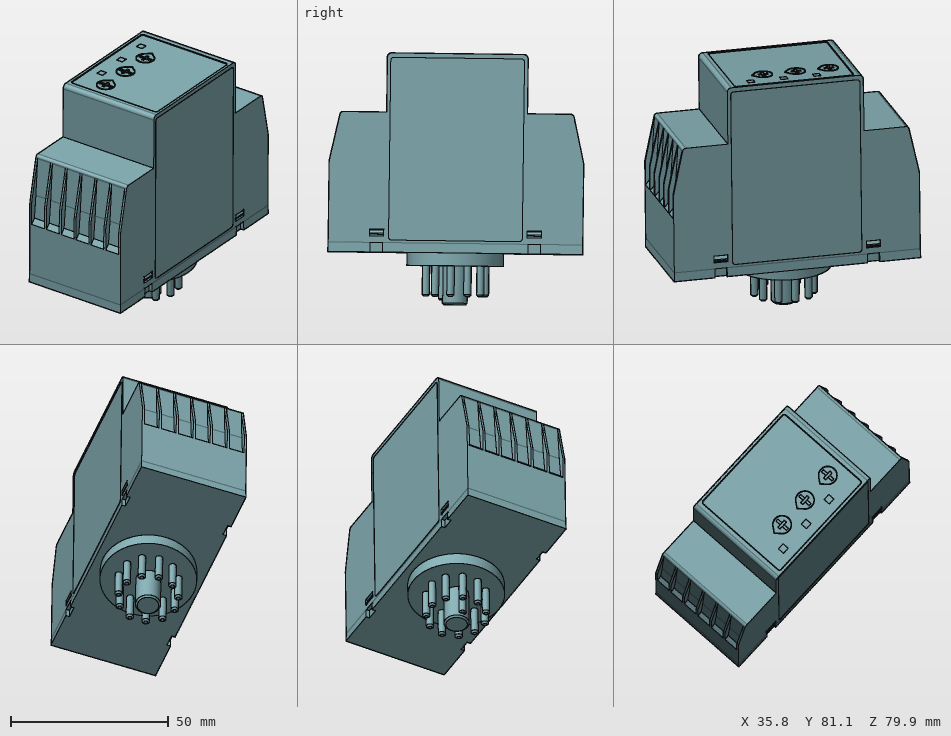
import cadquery as cq
import math

body_width = 35.3
half_length = 40.3
tower_half_length = 22.3
tower_height = 63.1
tower_edge_radius = 1.4
shoulder_height = 44.4
shoulder_half_length = 36.9
shoulder_radius = 1.05
knee_height = 28.8
knee_radius = 4.05

base_height = 3.0
base_flare = 0.1

terminal_count = 6
terminal_pitch = 5.8
terminal_bottom_width = 4.95
terminal_top_width = 5.4
terminal_wall_draft = 3
terminal_bottom = 21.0
terminal_ledge_top = 22.7
terminal_ledge_depth = 38.9
terminal_break_height = 30.5
terminal_break_depth = 38.1

label_width = 33.4
label_length = 39.1
label_corner_radius = 0.8
label_depth = 0.25
label_edge_chamfer = 0.2

dial_x = -7.05
lamp_x = -12.6
dial_places = (7.7, -3.1, -13.9)
lamp_lead = 5.5
lamp_size = 2.2
lamp_depth = 0.1
dial_diameter = 6.0
dial_tip_reach = 3.8
dial_groove = 0.2
dial_groove_depth = 0.25
cross_long = 4.5
cross_short = 3.0
cross_slot = 0.9
cross_long_depth = 0.3
cross_short_depth = 0.5

side_panel_length = 42.35
side_panel_bottom = 3.8
side_panel_top = 61.65
side_panel_corner_radius = 1.0
side_panel_depth = 0.1

latch_y = 25.0
latch_length = 4.55
latch_bottom = 5.0
latch_top = 7.3
latch_depth = 0.8
latch_ramp_top = 7.0
latch_ramp_bottom = 6.0
latch_hook_bottom = 5.6
latch_hook_inset = 0.2
notch_length = 4.0
notch_depth = 1.1

plug_diameter = 30.7
plug_height = 4.05
pin_count = 11
pin_diameter = 2.35
pin_circle_radius = 9.6
pin_end = -13.7
pin_tip_chamfer = 0.6
post_diameter = 7.95
post_end = -16.4
post_chamfer = 0.6
key_diameter = 2.35
key_centre = 4.0
key_end = -14.85
key_chamfer = 0.4

lean_x = -0.73
lean_y = -0.3
lean_z = -0.1

cut_margin = 0.8

half_width = body_width / 2


def make_housing():
    """Stepped housing: tall tower in the middle, a terminal wing on each side."""
    right_side = [
        (half_length, base_height),
        (half_length, knee_height),
        (shoulder_half_length, shoulder_height),
        (tower_half_length, shoulder_height),
        (tower_half_length, tower_height),
    ]
    left_side = [(-y, z) for y, z in reversed(right_side)]
    housing = (
        cq.Workplane("YZ")
        .polyline(right_side + left_side)
        .close()
        .extrude(half_width, both=True)
    )

    def round_edges(solid, y, z, radius):
        for side in (-1, 1):
            solid = solid.edges(cq.NearestToPointSelector((0, side * y, z))).fillet(radius)
        return solid

    housing = round_edges(housing, tower_half_length, tower_height, tower_edge_radius)
    housing = round_edges(housing, shoulder_half_length, shoulder_height, shoulder_radius)
    return round_edges(housing, half_length, knee_height, knee_radius)


def make_base():
    """Base band below the housing, spreading a little towards the bottom."""
    return (
        cq.Workplane("XY")
        .rect(body_width + 2 * base_flare, 2 * (half_length + base_flare))
        .workplane(offset=base_height)
        .rect(body_width, 2 * half_length)
        .loft(ruled=True)
    )


def make_terminal_pockets():
    """Rows of tapered pockets in both terminal faces."""
    lean = (half_length - shoulder_half_length) / (shoulder_height - knee_height)
    pocket_top = shoulder_height - shoulder_radius
    top_depth = half_length - lean * (pocket_top - knee_height)
    clear = half_length + cut_margin
    side_profile = [
        (top_depth, pocket_top),
        (terminal_break_depth, terminal_break_height),
        (terminal_ledge_depth, terminal_ledge_top),
        (half_length, terminal_bottom),
        (clear, terminal_bottom),
        (clear, pocket_top),
    ]
    slab = cq.Workplane("YZ").polyline(side_profile).close().extrude(half_width, both=True)
    finger = (
        cq.Workplane("XZ", origin=(0, clear, 0))
        .polyline([
            (-terminal_bottom_width / 2, terminal_bottom - cut_margin),
            (terminal_bottom_width / 2, terminal_bottom - cut_margin),
            (terminal_top_width / 2, pocket_top + cut_margin),
            (-terminal_top_width / 2, pocket_top + cut_margin),
        ])
        .close()
        .extrude(clear - shoulder_half_length, taper=terminal_wall_draft)
    )
    pocket = slab.intersect(finger)
    row = cq.Workplane("XY")
    for index in range(terminal_count):
        x = (index - (terminal_count - 1) / 2) * terminal_pitch
        row = row.add(pocket.translate((x, 0, 0)))
    row = row.combine()
    return row.union(row.mirror("XZ"))


def dial_outline(radius, reach):
    """Circle with a straight-sided pointer towards +Y, tangent to the circle."""
    angle = math.asin(radius / reach)
    touch_x = radius * math.cos(angle)
    touch_y = radius * math.sin(angle)
    return (
        cq.Workplane("XY")
        .moveTo(touch_x, touch_y)
        .lineTo(0, reach)
        .lineTo(-touch_x, touch_y)
        .threePointArc((0, -radius), (touch_x, touch_y))
        .close()
    )


def make_top_details():
    """Recessed label area, with lamp windows and screwdriver dials sunk into it."""
    floor = tower_height - label_depth
    details = (
        cq.Workplane("XY")
        .workplane(offset=floor)
        .rect(label_width, label_length)
        .extrude(2 * label_depth)
        .edges("|Z")
        .fillet(label_corner_radius)
        .faces("<Z")
        .chamfer(label_edge_chamfer)
    )
    radius = dial_diameter / 2
    groove = dial_outline(radius, dial_tip_reach).extrude(-dial_groove_depth)
    inner_scale = (radius - dial_groove) / radius
    island = dial_outline(radius - dial_groove, dial_tip_reach * inner_scale).extrude(-dial_groove_depth)
    long_slot = cq.Workplane("XY").rect(cross_long, cross_slot).extrude(-cross_long_depth)
    short_slot = cq.Workplane("XY").rect(cross_slot, cross_short).extrude(-cross_short_depth)
    dial = groove.cut(island).union(long_slot).union(short_slot)
    lamp = cq.Workplane("XY").rect(lamp_size, lamp_size).extrude(-lamp_depth)
    for y in dial_places:
        details = details.union(dial.translate((dial_x, y, floor)))
        details = details.union(lamp.translate((lamp_x, y + lamp_lead, floor)))
    return details


def make_side_details():
    """Side panel, latch windows and base notches, cut into both X faces."""
    face = -half_width
    panel_height = side_panel_top - side_panel_bottom
    details = (
        cq.Workplane("XY")
        .box(2 * side_panel_depth, side_panel_length, panel_height)
        .edges("|X")
        .fillet(side_panel_corner_radius)
        .translate((face, 0, (side_panel_top + side_panel_bottom) / 2))
    )
    back = face + latch_depth
    hook_face = face + latch_hook_inset
    window = (
        cq.Workplane("XZ")
        .polyline([
            (face, latch_bottom),
            (back, latch_bottom),
            (back, latch_hook_bottom),
            (hook_face, latch_hook_bottom),
            (hook_face, latch_ramp_bottom),
            (back, latch_ramp_top),
            (back, latch_top),
            (face, latch_top),
        ])
        .close()
        .extrude(latch_length / 2, both=True)
    )
    notch = (
        cq.Workplane("XY")
        .rect(2 * notch_depth, notch_length)
        .extrude(base_height)
        .translate((face, 0, 0))
    )
    for y in (-latch_y, latch_y):
        details = details.union(window.translate((0, y, 0)))
        details = details.union(notch.translate((0, y, 0)))
    return details.union(details.mirror("YZ"))


def make_plug():
    """Round plug below the housing, with a ring of pins and a keyed middle post."""
    plug = cq.Workplane("XY").circle(plug_diameter / 2).extrude(-plug_height)
    post = (
        cq.Workplane("XY")
        .circle(post_diameter / 2)
        .extrude(post_end)
        .faces("<Z")
        .chamfer(post_chamfer)
    )
    key = (
        cq.Workplane("XY")
        .circle(key_diameter / 2)
        .extrude(key_end)
        .faces("<Z")
        .chamfer(key_chamfer)
        .translate((0, -key_centre, 0))
    )
    plug = plug.union(post).union(key)
    pin = (
        cq.Workplane("XY")
        .circle(pin_diameter / 2)
        .extrude(pin_end)
        .faces("<Z")
        .chamfer(pin_tip_chamfer)
        .translate((0, pin_circle_radius, 0))
    )
    for index in range(pin_count):
        plug = plug.union(pin.rotate((0, 0, 0), (0, 0, 1), index * 360 / pin_count))
    return plug


result = (
    make_housing()
    .union(make_base())
    .cut(make_terminal_pockets())
    .cut(make_top_details())
    .cut(make_side_details())
    .union(make_plug())
    .rotate((0, 0, 0), (1, 0, 0), lean_x)
    .rotate((0, 0, 0), (0, 1, 0), lean_y)
    .rotate((0, 0, 0), (0, 0, 1), lean_z)
)